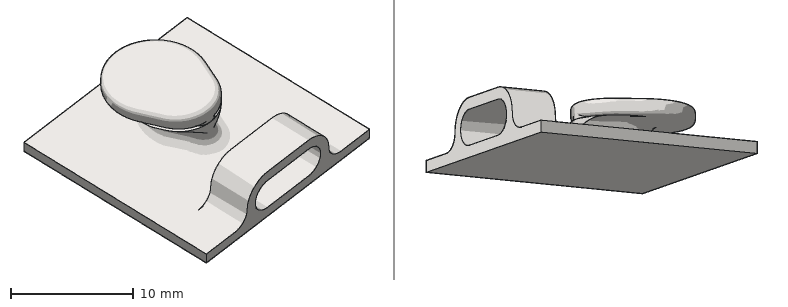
import cadquery as cq
import math

plate_side = 20.0
plate_thickness = 1.0
total_height = 5.0

egg_center_distance = 2.5
neck_large_radius = 2.5
neck_small_radius = 1.5
neck_large_center_x = -2.5
head_overhang = 2.0
head_shift = -2.0
head_thickness = 1.5
head_edge_radius = 0.5
head_bottom = total_height - head_thickness
neck_height = head_bottom - plate_thickness
flare_radius = neck_height / 2
neck_waist = plate_thickness + flare_radius

loop_width = 4.0
loop_wall = 1.0
loop_outer_radius = 2.5
loop_inner_radius = loop_outer_radius - loop_wall
loop_arc_center_y = 2.5
loop_half_width = loop_arc_center_y + loop_outer_radius
loop_arc_center_z = total_height - loop_outer_radius
foot_radius = loop_arc_center_z - plate_thickness


def egg(large_center_x, large_radius, small_radius, bottom, height):
    """Prism on two arcs of different radius joined by tangent lines."""
    small_center_x = large_center_x + egg_center_distance
    cos_t = (large_radius - small_radius) / egg_center_distance
    sin_t = math.sqrt(1 - cos_t**2)
    large_x = large_center_x + large_radius * cos_t
    large_y = large_radius * sin_t
    small_x = small_center_x + small_radius * cos_t
    small_y = small_radius * sin_t
    return (
        cq.Workplane("XY", origin=(0, 0, bottom))
        .moveTo(large_x, large_y)
        .threePointArc((large_center_x - large_radius, 0), (large_x, -large_y))
        .lineTo(small_x, -small_y)
        .threePointArc((small_center_x + small_radius, 0), (small_x, small_y))
        .close()
        .extrude(height)
    )


def head_prism(bottom, height):
    return egg(
        neck_large_center_x + head_shift,
        neck_large_radius + head_overhang,
        neck_small_radius + head_overhang,
        bottom,
        height,
    )


def slab(bottom, thickness):
    return cq.Workplane("XY", origin=(0, 0, bottom)).box(
        plate_side, plate_side, thickness, centered=(True, True, False)
    )


def neck_profile(plane, waist_radius):
    """Half section of the neck: axis on the left, hollow semicircular flank on the right."""
    rim = waist_radius + flare_radius
    return (
        cq.Workplane(plane)
        .lineTo(rim, 0)
        .threePointArc((waist_radius, flare_radius), (rim, neck_height))
        .lineTo(0, neck_height)
        .close()
    )


def neck_sector(center_x, waist_radius, start_angle, sweep_angle):
    start = math.radians(start_angle)
    plane = cq.Plane(
        origin=(center_x, 0, plate_thickness),
        xDir=(math.cos(start), math.sin(start), 0),
        normal=(math.sin(start), -math.cos(start), 0),
    )
    return neck_profile(plane, waist_radius).revolve(sweep_angle, (0, 0, 0), (0, 1, 0))


def neck_flank(tangent_angle):
    """Straight +Y flank between the two round ends."""
    angle = math.radians(tangent_angle)
    plane = cq.Plane(
        origin=(neck_large_center_x, 0, plate_thickness),
        xDir=(math.cos(angle), math.sin(angle), 0),
        normal=(math.sin(angle), -math.cos(angle), 0),
    )
    return neck_profile(plane, neck_large_radius).extrude(egg_center_distance * math.sin(angle))


def neck():
    tangent_angle = math.degrees(
        math.acos((neck_large_radius - neck_small_radius) / egg_center_distance)
    )
    large_end = neck_sector(
        neck_large_center_x, neck_large_radius, tangent_angle, 360 - 2 * tangent_angle
    )
    small_end = neck_sector(
        neck_large_center_x + egg_center_distance, neck_small_radius, -tangent_angle, 2 * tangent_angle
    )
    flank = neck_flank(tangent_angle)
    spool = large_end.union(flank).union(flank.mirror("XZ")).union(small_end)
    trim = slab(neck_waist, flare_radius).cut(head_prism(neck_waist, flare_radius))
    return spool.cut(trim)


def head():
    return head_prism(head_bottom, head_thickness).faces("<Z or >Z").edges().fillet(head_edge_radius)


def tip_filler():
    """Waist outline carried up to fill the notch under the rounded +X tip of the head."""
    return egg(
        neck_large_center_x, neck_large_radius, neck_small_radius, head_bottom, head_edge_radius
    )


def loop():
    foot_y = loop_half_width + foot_radius
    diagonal = math.sqrt(0.5)
    outer_mid_y = loop_arc_center_y + loop_outer_radius * diagonal
    outer_mid_z = loop_arc_center_z + loop_outer_radius * diagonal
    foot_mid_y = foot_y - foot_radius * diagonal
    foot_mid_z = loop_arc_center_z - foot_radius * diagonal
    body = (
        cq.Workplane("YZ", origin=(plate_side / 2 - loop_width, 0, 0))
        .moveTo(-foot_y, plate_thickness)
        .threePointArc((-foot_mid_y, foot_mid_z), (-loop_half_width, loop_arc_center_z))
        .threePointArc((-outer_mid_y, outer_mid_z), (-loop_arc_center_y, total_height))
        .lineTo(loop_arc_center_y, total_height)
        .threePointArc((outer_mid_y, outer_mid_z), (loop_half_width, loop_arc_center_z))
        .threePointArc((foot_mid_y, foot_mid_z), (foot_y, plate_thickness))
        .close()
        .extrude(loop_width)
    )
    opening = (
        cq.Workplane("YZ", origin=(plate_side / 2 - loop_width, 0, loop_arc_center_z))
        .slot2D(2 * (loop_arc_center_y + loop_inner_radius), 2 * loop_inner_radius)
        .extrude(loop_width)
    )
    return body.cut(opening)


button = neck().union(head()).union(tip_filler())
result = slab(0, plate_thickness).union(button).union(loop())